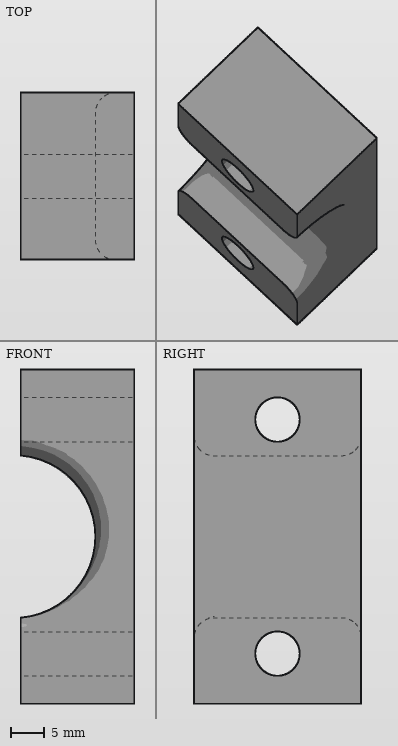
import cadquery as cq

thickness = 17.0
width = 25.0
height = 50.0

bore_radius = 12.15
axis_offset = 1.0
edge_radius = 3.0

hole_diameter = 6.6
hole_spacing = 35.0


def saddle_cutter():
    """Revolved bore that flares out over a rounded edge at each end."""
    half_width = width / 2
    straight_half = half_width - edge_radius
    mouth_radius = bore_radius + edge_radius
    profile = (
        cq.Workplane("XY")
        .moveTo(0, -half_width)
        .lineTo(mouth_radius, -half_width)
        .radiusArc((bore_radius, -straight_half), edge_radius)
        .lineTo(bore_radius, straight_half)
        .radiusArc((mouth_radius, half_width), edge_radius)
        .lineTo(0, half_width)
        .close()
    )
    return profile.revolve(360, (0, 0, 0), (0, 1, 0)).translate((-axis_offset, 0, 0))


def screw_holes():
    """Pair of through holes, one above and one below the saddle."""
    return (
        cq.Workplane("YZ")
        .pushPoints([(0, side * hole_spacing / 2) for side in (-1, 1)])
        .circle(hole_diameter / 2)
        .extrude(thickness)
    )


block = cq.Workplane("XY").box(thickness, width, height, centered=(False, True, True))
result = block.cut(saddle_cutter()).cut(screw_holes())